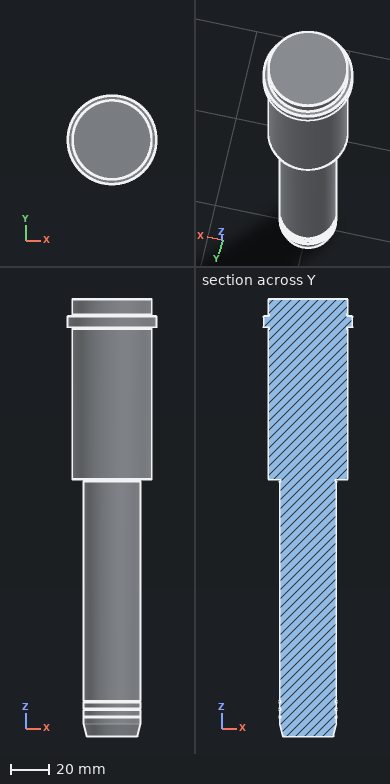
import cadquery as cq

total_length = 230.0
edge_chamfer = 0.5

body_radius = 21.0
body_length = 95.0
flange_radius = 23.5
flange_height = 6.0
cap_height = 9.0

shank_radius = 15.0
tip_length = 7.0
tip_radius = 13.4

groove_width = 1.0
groove_depth = 0.5
groove_floor = 0.3
ring_count = 3
ring_pitch = 4.0
first_ring_bottom = 10.0

body_bottom = total_length - body_length
flange_top = total_length - cap_height
flange_bottom = flange_top - flange_height


def revolve_profile(points):
    """Solid of revolution about Z from (radius, height) points, with its seam on the -X side."""
    outline = [(-radius, height) for radius, height in points]
    return cq.Workplane("XZ").polyline(outline).close().revolve(360, (0, 0, 0), (0, 1, 0))


def make_pillar():
    """Stepped pillar: tapered tip, shank, body, flange and cap."""
    return revolve_profile([
        (0, 0),
        (tip_radius - edge_chamfer, 0),
        (tip_radius, edge_chamfer),
        (shank_radius, tip_length),
        (shank_radius, body_bottom),
        (body_radius - edge_chamfer, body_bottom),
        (body_radius, body_bottom + edge_chamfer),
        (body_radius, flange_bottom),
        (flange_radius, flange_bottom),
        (flange_radius, flange_top - edge_chamfer),
        (flange_radius - edge_chamfer, flange_top),
        (body_radius, flange_top),
        (body_radius, total_length - edge_chamfer),
        (body_radius - edge_chamfer, total_length),
        (0, total_length),
    ])


def groove_cutter(radius, bottom):
    """Ring with sloping walls and a narrow flat floor, sunk into a cylinder of the given radius."""
    wall_run = (groove_width - groove_floor) / 2
    top = bottom + groove_width
    return revolve_profile([
        (radius, bottom),
        (radius - groove_depth, bottom + wall_run),
        (radius - groove_depth, top - wall_run),
        (radius, top),
    ])


def cut_grooves(pillar):
    """Cut the shoulder reliefs and the rings above the tip."""
    grooves = [
        (body_radius, flange_top),
        (body_radius, flange_bottom - groove_width),
        (shank_radius, body_bottom - groove_width),
    ]
    for index in range(ring_count):
        grooves.append((shank_radius, first_ring_bottom + index * ring_pitch))
    for radius, bottom in grooves:
        pillar = pillar.cut(groove_cutter(radius, bottom))
    return pillar


result = cut_grooves(make_pillar())